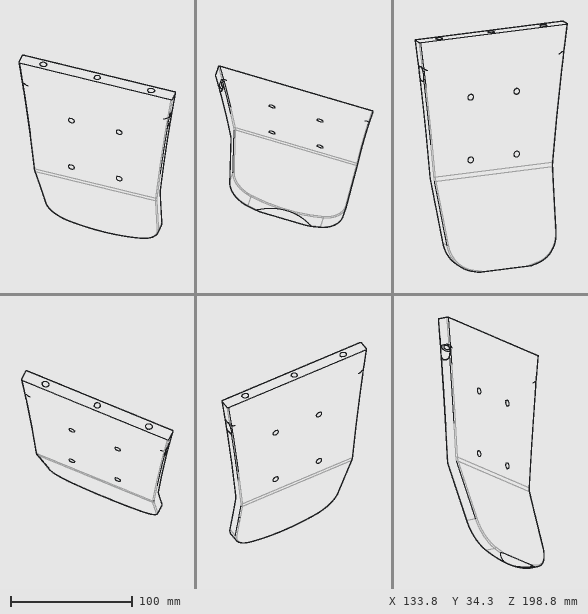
import cadquery as cq
import math

height = 198.8
thickness = 10
edge_fillet = 1.0

bend_angle = math.radians(17.5)
bend_depth = 120.5
bend_radius = 12

top_width = 133.8
middle_width = 110.7
bottom_width = 95.0
bottom_radius = 111.3
corner_radius = 25.0

hole_diameter = 5.0
mount_spacing_x = 41.5
mount_spacing_z = 53.9
mount_top_depth = 52.3
center_hole_depth = 23.9
slanted_hole_x = 47.0
slanted_hole_angle = math.radians(30)
slanted_hole_length = 27.8
counterbore_diameter = 9.0
counterbore_length = 10

end_allowance = 0.12
flange_overrun = 19.9


def bent_sheet(overrun):
    """Extra-wide bent sheet with its lower end square to the flange, overrun past the full height."""
    flange_length = (height - bend_depth) / math.cos(bend_angle) + overrun
    front_end_y = flange_length * math.sin(bend_angle)
    front_end_z = -bend_depth - flange_length * math.cos(bend_angle)
    back_end_y = front_end_y + thickness * math.cos(bend_angle)
    back_end_z = front_end_z + thickness * math.sin(bend_angle)
    back_bend_z = -bend_depth + thickness * math.tan(bend_angle / 2)
    sheet = (
        cq.Workplane("YZ")
        .moveTo(0, 0)
        .lineTo(0, -bend_depth)
        .lineTo(front_end_y, front_end_z)
        .lineTo(back_end_y, back_end_z)
        .lineTo(thickness, back_bend_z)
        .lineTo(thickness, 0)
        .close()
        .extrude(top_width, both=True)
    )
    front_bend = cq.selectors.NearestToPointSelector((0, 0, -bend_depth))
    back_bend = cq.selectors.NearestToPointSelector((0, thickness, back_bend_z))
    sheet = sheet.edges("|X").edges(front_bend).fillet(bend_radius)
    return sheet.edges("|X").edges(back_bend).fillet(bend_radius)


def outline_prism():
    """Front outline extruded along Y: tapering sides, round bottom and rounded lower corners."""
    tapered = (
        cq.Workplane("XZ")
        .moveTo(-top_width / 2, 0)
        .lineTo(top_width / 2, 0)
        .threePointArc((middle_width / 2, -height / 2), (bottom_width / 2, -height))
        .lineTo(-bottom_width / 2, -height)
        .threePointArc((-middle_width / 2, -height / 2), (-top_width / 2, 0))
        .close()
        .extrude(height, both=True)
    )
    bottom_disc = (
        cq.Workplane("XZ")
        .center(0, bottom_radius - height)
        .circle(bottom_radius)
        .extrude(height, both=True)
    )
    prism = tapered.intersect(bottom_disc)
    lower_corners = cq.selectors.BoxSelector((-height, -height, -height), (height, height, -height / 2))
    return prism.edges("|Y").edges(lower_corners).fillet(corner_radius)


def round_rim(plate, face_y):
    """Round the side and bottom rim of the plate on the face at y = face_y."""
    face = cq.selectors.NearestToPointSelector((0, face_y, -bend_depth / 2))
    return plate.faces(face).edges("not |X").fillet(edge_fillet)


def mounting_holes():
    middle_z = -mount_top_depth - mount_spacing_z / 2
    return (
        cq.Workplane("XZ", origin=(0, 0, middle_z))
        .rarray(mount_spacing_x, mount_spacing_z, 2, 2)
        .circle(hole_diameter / 2)
        .extrude(-thickness)
    )


def center_hole():
    return (
        cq.Workplane("XY", origin=(0, thickness / 2, 0))
        .circle(hole_diameter / 2)
        .extrude(-center_hole_depth)
    )


def slanted_hole(side):
    """Counterbored hole from the top edge down and outward to the side at side = -1 or 1."""
    entry = cq.Vector(side * slanted_hole_x, thickness / 2, 0)
    direction = cq.Vector(side * math.sin(slanted_hole_angle), 0, -math.cos(slanted_hole_angle))
    start = entry - direction * hole_diameter
    floor = entry + direction * slanted_hole_length
    bore = cq.Solid.makeCylinder(hole_diameter / 2, hole_diameter + slanted_hole_length, start, direction)
    counterbore = cq.Solid.makeCylinder(counterbore_diameter / 2, counterbore_length, floor, direction)
    return cq.Workplane(bore).union(cq.Workplane(counterbore))


plate = bent_sheet(flange_overrun).intersect(outline_prism())
plate = round_rim(plate, 0)
plate = round_rim(plate, thickness)
plate = plate.intersect(bent_sheet(end_allowance))

plate = plate.cut(mounting_holes()).cut(center_hole())
for side in (-1, 1):
    plate = plate.cut(slanted_hole(side))

result = plate